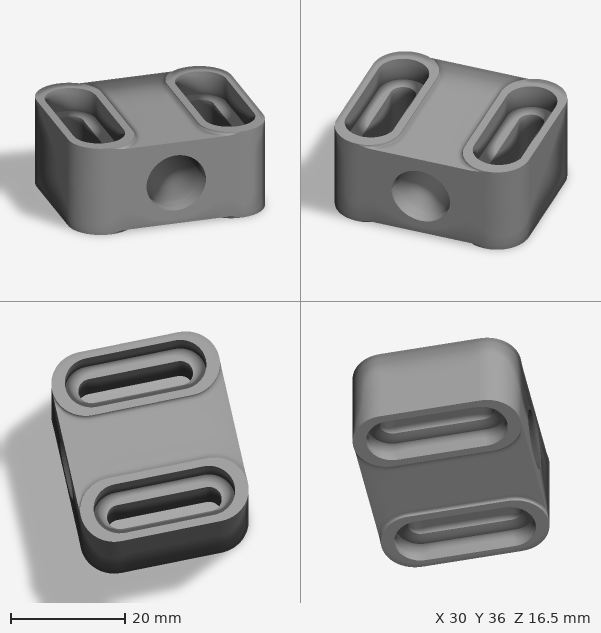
import cadquery as cq

width = 30.0
length = 36.0
height = 16.5
half_height = height / 2

pad_width = 12.0
corner_radius = pad_width / 2
pad_offset = (length - pad_width) / 2

band_depth = 0.5
band_fillet = band_depth
band_height = half_height - band_depth

slot_length = 20.5
slot_width = 4.5
pocket_width = 9.2
pocket_length = slot_length - slot_width + pocket_width
pocket_depth = 4.4

bore_diameter = 11.0
bore_inset = 0.25

pad_centers = [(0, -pad_offset), (0, pad_offset)]


def stadiums(size_x, size_y, bottom, depth):
    """Round-ended prisms, one at each pad, rising from the given height."""
    return (
        cq.Workplane("XY")
        .workplane(offset=bottom)
        .pushPoints(pad_centers)
        .slot2D(size_x, size_y)
        .extrude(depth)
    )


def rounded_block():
    """Plain half block with rounded vertical corners."""
    return (
        cq.Workplane("XY")
        .rect(width, length)
        .extrude(half_height)
        .edges("|Z")
        .fillet(corner_radius)
    )


def filleted_pads():
    """Both pads on a slab, filleted at their feet; slab and pads overshoot the block."""
    margin = 2 * corner_radius
    slab = cq.Workplane("XY").rect(width + margin, length + margin).extrude(band_height)
    pads = stadiums(width, pad_width, band_height, 2 * band_depth)
    foot_zone = cq.selectors.BoxSelector(
        (-width / 2, -length / 2, band_height - band_depth / 2),
        (width / 2, length / 2, band_height + band_depth / 2),
    )
    return slab.union(pads).edges(foot_zone).fillet(band_fillet)


def rod_bore():
    """Cylinder along X, its axis just below the parting plane."""
    return (
        cq.Workplane("YZ")
        .center(0, -bore_inset)
        .circle(bore_diameter / 2)
        .extrude(width, both=True)
    )


def clamp_half():
    """Upper clamp half, resting on the parting plane at Z = 0."""
    half = rounded_block().intersect(filleted_pads())
    half = half.cut(stadiums(slot_length, slot_width, 0, half_height))
    half = half.cut(stadiums(pocket_length, pocket_width, half_height - pocket_depth, pocket_depth))
    return half.cut(rod_bore()).solids()


upper_half = clamp_half()
lower_half = upper_half.mirror("XY")

result = cq.Compound.makeCompound([upper_half.val(), lower_half.val()])